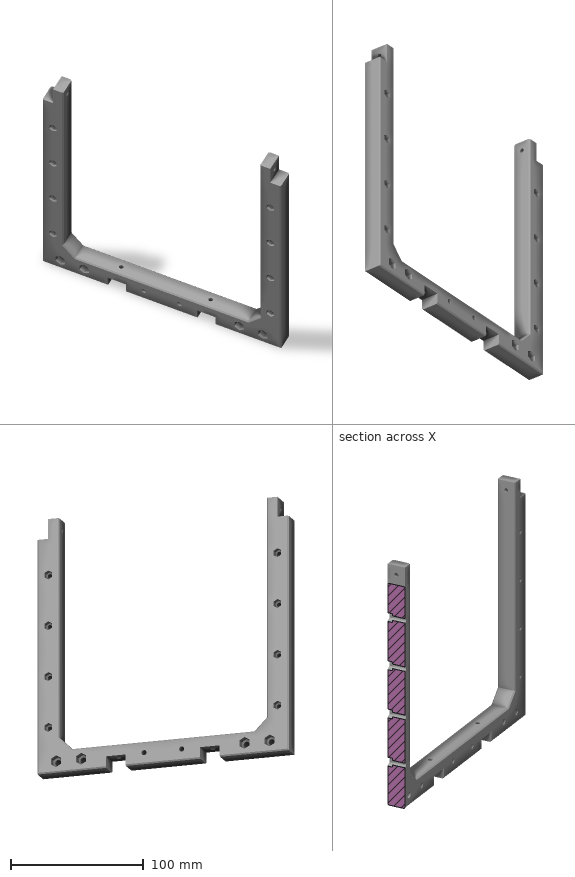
import cadquery as cq

width = 200.0
height = 200.0
thickness = 15.0
bar = 17.5
corner_cut = 10.0
bevel = 1.0
mid_line = 8.8

joint_length = 15.5
notch_spacing = 75.0
joint_hole = 3.5

leg_hole = 3.5
leg_nut_flats = 6.0
leg_nut_depth = 4.0
leg_hole_first_z = 36.0
leg_hole_pitch = 40.0
leg_hole_count = 4

base_hole = 4.8
base_nut_flats = 8.0
base_nut_depth = 5.0
base_hole_insets = (15.0, 35.0)

pin_hole = 4.0
pin_spacing = 30.0

front_y = -thickness / 2
half_width = width / 2
sides = (-1, 1)


def bevelled_frame():
    inner_x = half_width - bar
    right_half = [
        (half_width, 0),
        (half_width, height),
        (inner_x, height),
        (inner_x, bar + corner_cut),
        (inner_x - corner_cut, bar),
    ]
    left_half = [(-x, z) for x, z in reversed(right_half)]
    frame = (
        cq.Workplane("XZ")
        .polyline(right_half + left_half)
        .close()
        .extrude(thickness / 2, both=True)
    )
    long_edges = frame.faces("|Y").edges().filter(lambda edge: edge.Center().z < height)
    return long_edges.chamfer(bevel)


def front_plane(x, z):
    return cq.Workplane("XZ", origin=(x, front_y, z))


def through_hole(x, z, diameter):
    return front_plane(x, z).circle(diameter / 2).extrude(-thickness)


def nut_pocket(x, z, flats, depth):
    return front_plane(x, z).polygon(6, flats, circumscribed=True).extrude(-depth)


def notch(x):
    slot = cq.Workplane("XY").box(joint_length, thickness, mid_line, centered=(True, True, False))
    screw = cq.Workplane("XY").circle(joint_hole / 2).extrude(bar)
    return slot.union(screw).translate((x, 0, 0))


def tongue_cut(side):
    step = cq.Workplane("XY").box(mid_line, thickness, joint_length)
    step = step.translate((side * (half_width - mid_line / 2), 0, height - joint_length / 2))
    screw = (
        cq.Workplane("YZ", origin=(side * half_width, 0, height - joint_length / 2))
        .circle(joint_hole / 2)
        .extrude(-side * bar)
    )
    return step.union(screw)


result = bevelled_frame()

for side in sides:
    result = result.cut(notch(side * notch_spacing / 2))
    result = result.cut(tongue_cut(side))
    result = result.cut(through_hole(side * pin_spacing / 2, mid_line, pin_hole))

    for inset in base_hole_insets:
        x = side * (half_width - inset)
        result = result.cut(through_hole(x, mid_line, base_hole))
        result = result.cut(nut_pocket(x, mid_line, base_nut_flats, base_nut_depth))

    x = side * (half_width - mid_line)
    for i in range(leg_hole_count):
        z = leg_hole_first_z + i * leg_hole_pitch
        result = result.cut(through_hole(x, z, leg_hole))
        result = result.cut(nut_pocket(x, z, leg_nut_flats, leg_nut_depth))